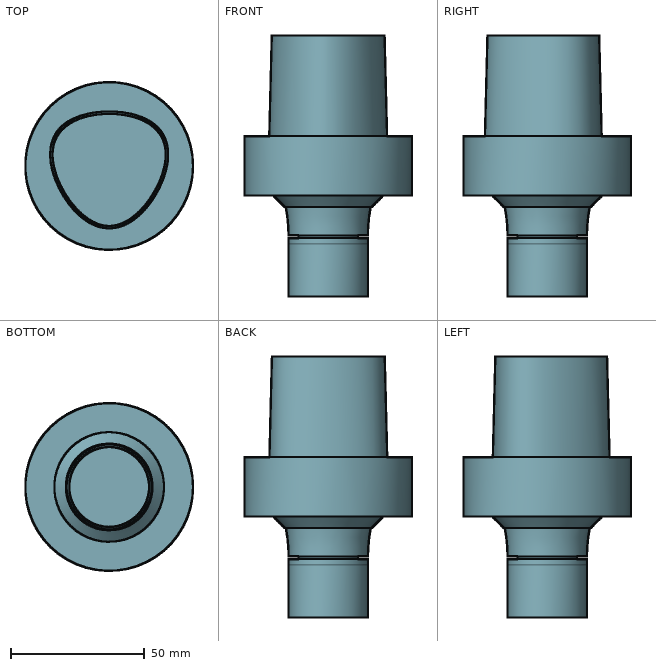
import cadquery as cq
import math

total_height = 98.0
flange_bottom = 37.8
flange_top = 60.2
flange_radius = 63.0 / 2

shank_radius = 30.0 / 2
collar_radius = 29.9 / 2
shank_top = 20.0
shank_chamfer = 0.3
collar_top = 22.0

groove_radius = 22.4 / 2
groove_top = 22.9

neck_top_radius = 31.9 / 2
neck_top = 33.5
shoulder_radius = 41.2 / 2
shoulder_foot_radius = shoulder_radius - (flange_bottom - neck_top)

lobe_base_radius = 22.0
lobe_eccentricity = 1.5
lobe_curve_points = 36
lobe_height = total_height - flange_top
taper_per_length = 1 / 40
lobe_top_radius = lobe_base_radius - lobe_height * taper_per_length


def turned_body():
    """Shank, collar, groove, neck, shoulder and flange as one revolved profile."""
    neck_flare = neck_top_radius - collar_radius
    neck_height = neck_top - groove_top
    flare_radius = (neck_height**2 + neck_flare**2) / (2 * neck_flare)
    half_angle = math.asin(neck_height / flare_radius) / 2
    neck_middle = (
        collar_radius + flare_radius * (1 - math.cos(half_angle)),
        groove_top + flare_radius * math.sin(half_angle),
    )
    profile = (
        cq.Workplane("XZ")
        .lineTo(shank_radius, 0)
        .lineTo(shank_radius, shank_top - shank_chamfer)
        .lineTo(collar_radius, shank_top)
        .lineTo(collar_radius, collar_top)
        .lineTo(groove_radius, collar_top)
        .lineTo(groove_radius, groove_top)
        .lineTo(collar_radius, groove_top)
        .threePointArc(neck_middle, (neck_top_radius, neck_top))
        .lineTo(shoulder_foot_radius, neck_top)
        .lineTo(shoulder_radius, flange_bottom)
        .lineTo(flange_radius, flange_bottom)
        .lineTo(flange_radius, flange_top)
        .lineTo(0, flange_top)
        .close()
    )
    return profile.revolve(360, (0, 0), (0, 1))


def lobed_curve(mean_radius):
    """Points on a closed trochoid with three lobes, one of them pointing to -Y."""
    points = []
    for index in range(lobe_curve_points):
        angle = 2 * math.pi * index / lobe_curve_points
        x = mean_radius * math.sin(angle) - lobe_eccentricity * math.sin(2 * angle)
        y = -mean_radius * math.cos(angle) - lobe_eccentricity * math.cos(2 * angle)
        points.append((x, y))
    return points


def polygon_shank():
    """Three-lobed taper, lofted between its base and top sections."""
    return (
        cq.Workplane("XY", origin=(0, 0, flange_top))
        .spline(lobed_curve(lobe_base_radius), periodic=True, makeWire=True)
        .workplane(offset=lobe_height)
        .spline(lobed_curve(lobe_top_radius), periodic=True, makeWire=True)
        .loft(ruled=True)
    )


result = turned_body().union(polygon_shank())